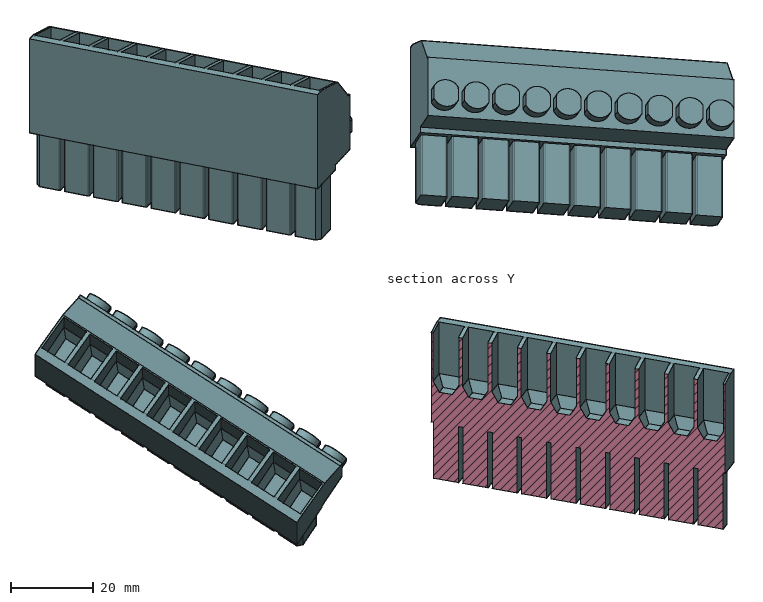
import cadquery as cq


pole_count = 10
pitch = 7.6
length = pole_count * pitch

housing_depth = 20.05
housing_height = 25.7
top_land = 2.45
ridge_y = 12.35
ridge_height = 23.3
shoulder_y = 19.2
shoulder_height = 16.4
step_y = 11.2
step_height = 1.4

pocket_width = 6.55
pocket_front = 2.3
pocket_back = 12.0
funnel_inset = 1.6
funnel_top = 11.4
funnel_depth = 2.75

screw_diameter = 6.85
screw_width = 6.1
screw_height = 6.4
screw_length = 3.05

pin_width = 6.55
pin_front = 2.45
pin_back = 10.2
end_pin_back = 9.6
pin_length = 15.5
pin_corner = 0.3
end_chamfer = 1.1


def make_housing():
    outline = [
        (0, 0),
        (step_y, 0),
        (step_y, step_height),
        (housing_depth, step_height),
        (housing_depth, shoulder_height),
        (shoulder_y, shoulder_height),
        (ridge_y, ridge_height),
        (top_land, housing_height),
        (0, housing_height),
    ]
    return cq.Workplane("YZ").polyline(outline).close().extrude(length)


def make_pocket(x):
    """Straight-sided entry that narrows to a smaller flat floor."""
    pocket_depth = pocket_back - pocket_front
    middle_y = (pocket_front + pocket_back) / 2
    throat = cq.Workplane("XY", origin=(x, middle_y, funnel_top))
    shaft = throat.rect(pocket_width, pocket_depth).extrude(housing_height - funnel_top)
    funnel = (
        throat.rect(pocket_width, pocket_depth)
        .workplane(offset=-funnel_depth)
        .rect(pocket_width - 2 * funnel_inset, pocket_depth - 2 * funnel_inset)
        .loft()
    )
    return shaft.union(funnel)


def make_screw(x):
    """Round head with a flat on each side, standing out of the back."""
    plane = cq.Workplane("XZ", origin=(x, housing_depth, screw_height))
    head = plane.circle(screw_diameter / 2).extrude(-screw_length)
    return head.intersect(plane.rect(screw_width, screw_diameter).extrude(-screw_length))


def make_inner_pin(x):
    """Rectangular pin with four small rounded edges."""
    return (
        cq.Workplane("XY", origin=(x, (pin_front + pin_back) / 2, 0))
        .rect(pin_width, pin_back - pin_front)
        .extrude(-pin_length)
        .edges("|Z")
        .fillet(pin_corner)
    )


def make_end_pin(x, outer_side):
    """Shallower pin with its outer front edge chamfered and the rest rounded."""
    pin = (
        cq.Workplane("XY", origin=(x, (pin_front + end_pin_back) / 2, 0))
        .rect(pin_width, end_pin_back - pin_front)
        .extrude(-pin_length)
    )
    pin = pin.faces("<Y").edges(outer_side).chamfer(end_chamfer)
    inner_side = "<X" if outer_side == ">X" else ">X"
    pin = pin.faces(inner_side).edges("|Z").fillet(pin_corner)
    return pin.faces(">Y").edges(outer_side).fillet(pin_corner)


result = make_housing()
pole_positions = [(index + 0.5) * pitch for index in range(pole_count)]
for pole_x in pole_positions:
    result = result.cut(make_pocket(pole_x))
    result = result.union(make_screw(pole_x))
for pole_x in pole_positions[1:-1]:
    result = result.union(make_inner_pin(pole_x))
result = result.union(make_end_pin(pole_positions[0], "<X"))
result = result.union(make_end_pin(pole_positions[-1], ">X"))